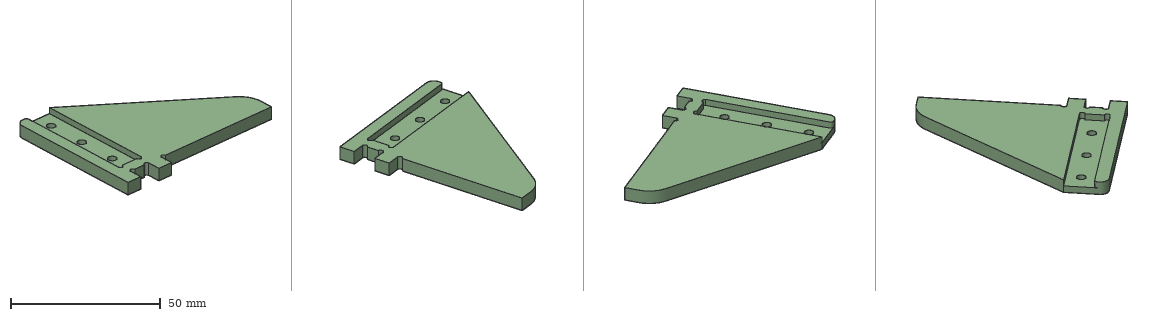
import cadquery as cq

length_x = 55.0
length_y = 69.9
thickness = 4.8
corner_radius = 3.0
tip_radius = 10.0
tip_width = 10.2

tab_length = 5.0
tab_width = 5.8
tab_gap = 8.25
body_right = length_x - tab_length
upper_tab_bottom = tab_width + tab_gap
upper_tab_top = upper_tab_bottom + tab_width

pocket_bottom = 4.7
pocket_width = 10.35
pocket_top = pocket_bottom + pocket_width
pocket_right = 45.15
pocket_depth = 2.3
pocket_floor = thickness - pocket_depth
mouth_radius = 1.0

relief_radius = 1.0
relief_depth = 0.85

hole_diameter = 3.15
hole_count = 3
hole_pitch = 15.0
first_hole_x = 6.5
hole_y = pocket_bottom + pocket_width / 2


def box(x_min, x_max, y_min, y_max, z_min):
    """Block from z_min up to the top face of the plate."""
    corner = cq.Workplane("XY", origin=(x_min, y_min, z_min))
    return corner.box(x_max - x_min, y_max - y_min, thickness - z_min, centered=False)


def cylinder(x, y, radius, z_min):
    """Upright cylinder from z_min up to the top face of the plate."""
    return cq.Workplane("XY", origin=(x, y, z_min)).circle(radius).extrude(thickness - z_min)


def make_plate():
    plate = (
        cq.Workplane("XY")
        .polyline([
            (0, 0),
            (length_x, 0),
            (length_x, tab_width),
            (body_right, tab_width),
            (body_right, upper_tab_bottom),
            (length_x, upper_tab_bottom),
            (length_x, upper_tab_top),
            (body_right, upper_tab_top),
            (body_right, length_y),
            (body_right - tip_width, length_y),
            (0, pocket_top),
        ])
        .close()
        .extrude(thickness)
    )
    plate = plate.edges("|Z and <X and <Y").fillet(corner_radius)
    tip_edge = cq.selectors.NearestToPointSelector((body_right - tip_width, length_y, thickness / 2))
    return plate.edges(tip_edge).fillet(tip_radius)


def make_tab_reliefs():
    relief_x = body_right - relief_depth + relief_radius
    reliefs = cq.Workplane("XY")
    for relief_y in (
        tab_width + relief_radius,
        upper_tab_bottom - relief_radius,
        upper_tab_top + relief_radius,
    ):
        reliefs = reliefs.add(cylinder(relief_x, relief_y, relief_radius, 0))
    return reliefs.combine()


def make_pocket():
    pocket = box(0, pocket_right, pocket_bottom, pocket_top, pocket_floor)
    relief_x = pocket_right + relief_depth - relief_radius
    for relief_y in (pocket_bottom + relief_radius, pocket_top - relief_radius):
        pocket = pocket.union(cylinder(relief_x, relief_y, relief_radius, pocket_floor))
    mouth_y = pocket_bottom - mouth_radius
    flare = box(0, mouth_radius, mouth_y, pocket_bottom, pocket_floor)
    flare = flare.cut(cylinder(mouth_radius, mouth_y, mouth_radius, pocket_floor))
    return pocket.union(flare)


def make_holes():
    centres = [(first_hole_x + i * hole_pitch, hole_y) for i in range(hole_count)]
    return cq.Workplane("XY").pushPoints(centres).circle(hole_diameter / 2).extrude(thickness)


result = make_plate().cut(make_tab_reliefs()).cut(make_pocket()).cut(make_holes())